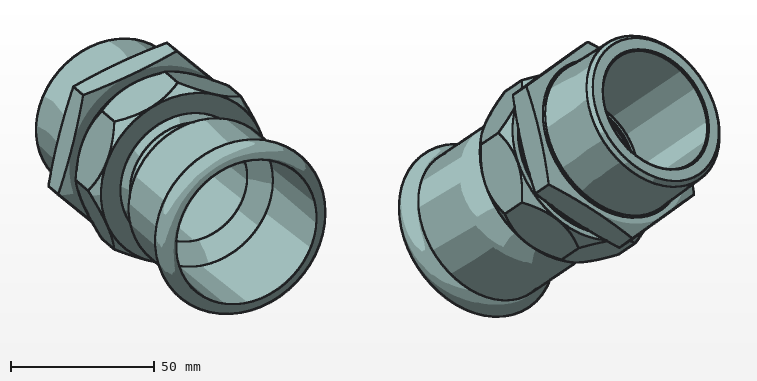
import cadquery as cq
import math


LENGTH = 111.1

THREAD_DIAMETER = 57.6
THREAD_CHAMFER = 1.6
THREAD_TAPER = 1 / 16
THREAD_END_X = 25.1
SHOULDER_DIAMETER = 60.2

HEX_START_X = 25.7
HEX_END_X = 36.3
HEX_FLATS = 65.0
HEX_ROTATION = 15
HEX_CHAMFER_ANGLE = 15

NECK_DIAMETER = 54.7
COLLAR_X = 38.9
COLLAR_DIAMETER = 59.3
COLLAR_CHAMFER = 1.5

FLAT_CLEARANCE = 0.06

NUT_START_X = 41.1
NUT_END_X = 60.6
NUT_FLATS = 64.1
NUT_CHAMFER_ANGLE = 60

TAIL_DIAMETER = 44.0
TAIL_X = 63.0
FLARE_X = 68.7
SOCKET_DIAMETER = 57.5
FLARE_ANGLE = 45
INNER_BEND_SETBACK = 0.8
OUTER_BEND_SETBACK = 1.3
BEAD_DIAMETER = 65.0
BEAD_RADIUS = 4.9

THREAD_BORE = 45.0
TAIL_BORE = 41.0
SEAT_BORE = 42.0
BORE_CHAMFER = 0.5
TAIL_WALL = (TAIL_DIAMETER - TAIL_BORE) / 2


def revolve_about_x(outline):
    """Spin a closed outline of (x, radius) points about the X axis."""
    return outline.close().revolve(360, (0, 0, 0), (1, 0, 0))


def thread_outline(outline):
    """Chamfered, tapered thread, ending in a small flare against the hexagon."""
    start_radius = THREAD_DIAMETER / 2
    end_radius = start_radius + (THREAD_END_X - THREAD_CHAMFER) * THREAD_TAPER / 2
    return (
        outline.lineTo(0, start_radius - THREAD_CHAMFER)
        .lineTo(THREAD_CHAMFER, start_radius)
        .lineTo(THREAD_END_X, end_radius)
        .lineTo(HEX_START_X, SHOULDER_DIAMETER / 2)
    )


def collar_outline(outline):
    """Plain neck behind the hexagon, then a chamfered collar entering the nut."""
    collar_radius = COLLAR_DIAMETER / 2
    return (
        outline.lineTo(HEX_END_X, SHOULDER_DIAMETER / 2)
        .lineTo(HEX_END_X, NECK_DIAMETER / 2)
        .lineTo(COLLAR_X, NECK_DIAMETER / 2)
        .lineTo(COLLAR_X, collar_radius - COLLAR_CHAMFER)
        .lineTo(COLLAR_X + COLLAR_CHAMFER, collar_radius)
        .lineTo(NUT_START_X, collar_radius)
    )


def tail_outline(outline):
    """Cone out of the nut, neck, flare with rounded bends, socket and bead."""
    tail_radius = TAIL_DIAMETER / 2
    socket_radius = SOCKET_DIAMETER / 2
    slope = math.radians(FLARE_ANGLE)
    inner_dx = INNER_BEND_SETBACK * math.cos(slope)
    inner_dr = INNER_BEND_SETBACK * math.sin(slope)
    outer_dx = OUTER_BEND_SETBACK * math.cos(slope)
    outer_dr = OUTER_BEND_SETBACK * math.sin(slope)
    flare_end_x = FLARE_X + (socket_radius - tail_radius) / math.tan(slope)

    bead_x = LENGTH - BEAD_RADIUS
    bead_centre_radius = BEAD_DIAMETER / 2 - BEAD_RADIUS
    bead_start_x = bead_x - math.sqrt(BEAD_RADIUS**2 - (socket_radius - bead_centre_radius) ** 2)

    return (
        outline.lineTo(NUT_END_X, COLLAR_DIAMETER / 2)
        .lineTo(NUT_END_X, tail_radius + TAIL_X - NUT_END_X)
        .lineTo(TAIL_X, tail_radius)
        .lineTo(FLARE_X - INNER_BEND_SETBACK, tail_radius)
        .tangentArcPoint((FLARE_X + inner_dx, tail_radius + inner_dr), relative=False)
        .lineTo(flare_end_x - outer_dx, socket_radius - outer_dr)
        .tangentArcPoint((flare_end_x + OUTER_BEND_SETBACK, socket_radius), relative=False)
        .lineTo(bead_start_x, socket_radius)
        .threePointArc((bead_x, BEAD_DIAMETER / 2), (LENGTH, bead_centre_radius))
        .lineTo(LENGTH, 0)
    )


def turned_body():
    outline = cq.Workplane("XY").moveTo(0, 0)
    return revolve_about_x(tail_outline(collar_outline(thread_outline(outline))))


def chamfered_prism(sides, flats, start_x, end_x, rotation, chamfer_angle):
    """Regular prism along X whose corners are cut by a cone at both ends.

    The chamfer angle is measured from the end faces.
    With no rotation one corner points along +Y.
    """
    corner_radius = flats / 2 / math.cos(math.pi / sides)
    prism = (
        cq.Workplane("YZ", origin=(start_x, 0, 0))
        .transformed(rotate=(0, 0, rotation))
        .polygon(sides, 2 * corner_radius)
        .extrude(end_x - start_x)
    )
    face_radius = flats / 2 - FLAT_CLEARANCE
    chamfer_height = corner_radius - face_radius
    chamfer_length = chamfer_height * math.tan(math.radians(chamfer_angle))
    envelope = revolve_about_x(
        cq.Workplane("XY")
        .moveTo(start_x, 0)
        .lineTo(start_x, face_radius)
        .lineTo(start_x + chamfer_length, corner_radius)
        .lineTo(end_x - chamfer_length, corner_radius)
        .lineTo(end_x, face_radius)
        .lineTo(end_x, 0)
    )
    return prism.intersect(envelope)


def bore():
    """Thread bore, stepped seat, tail bore and flared socket bore."""
    thread_radius = THREAD_BORE / 2
    tail_radius = TAIL_BORE / 2
    socket_radius = SOCKET_DIAMETER / 2 - TAIL_WALL
    slope = math.radians(FLARE_ANGLE)
    seat_chamfer = (SEAT_BORE - TAIL_BORE) / 2
    flare_x = FLARE_X + TAIL_WALL * math.tan(slope / 2)
    flare_end_x = flare_x + (socket_radius - tail_radius) / math.tan(slope)
    return revolve_about_x(
        cq.Workplane("XY")
        .moveTo(0, 0)
        .lineTo(0, thread_radius + BORE_CHAMFER)
        .lineTo(BORE_CHAMFER, thread_radius)
        .lineTo(NUT_START_X, thread_radius)
        .lineTo(NUT_START_X, SEAT_BORE / 2)
        .lineTo(NUT_START_X + seat_chamfer, tail_radius)
        .lineTo(flare_x, tail_radius)
        .lineTo(flare_end_x, socket_radius)
        .lineTo(LENGTH, socket_radius)
        .lineTo(LENGTH, 0)
    )


hexagon = chamfered_prism(6, HEX_FLATS, HEX_START_X, HEX_END_X, HEX_ROTATION, HEX_CHAMFER_ANGLE)
nut = chamfered_prism(8, NUT_FLATS, NUT_START_X, NUT_END_X, 0, NUT_CHAMFER_ANGLE)

result = turned_body().union(hexagon).union(nut).cut(bore())